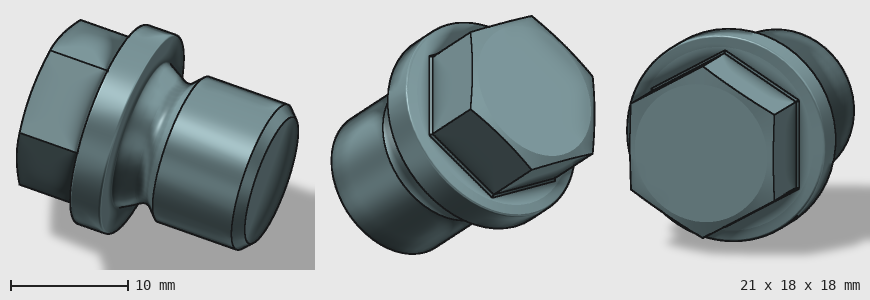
import cadquery as cq
import math


total_length = 21.0
head_end = 6.0
flange_end = 9.0
groove_bottom_x = 11.25

across_flats = 13.0
hex_corner_radius = across_flats / math.sqrt(3)
end_face_radius = 6.0
head_chamfer_angle = 15.0
foot_length = 0.2
foot_flare_angle = 45.0

flange_diameter = 18.0
flange_radius = flange_diameter / 2
washer_face_radius = 8.0
washer_slope_angle = 8.0
rim_fillet = 0.2

shank_radius = 6.57
groove_bottom_radius = 5.44
groove_arc_radius = 1.0
flange_side_angle = 30.0
shank_side_angle = 45.0
corner_fillet = 0.19
shank_end_chamfer = 0.86


def tan_deg(angle):
    return math.tan(math.radians(angle))


def groove_arc_point(angle):
    """Point of the groove arc, with the angle measured from its lowest point towards the shank."""
    turn = math.radians(angle)
    return (
        groove_bottom_x + groove_arc_radius * math.sin(turn),
        groove_bottom_radius + groove_arc_radius * (1 - math.cos(turn)),
    )


def revolve_about_x(profile):
    """Close an XY half profile and turn it a full circle about the X axis."""
    return profile.close().revolve(360, (0, 0, 0), (1, 0, 0))


def make_hexagon(start, length, taper=0.0):
    """Hexagon extruded along X with two corners on the Z axis; a negative taper widens it."""
    corners = []
    for corner in range(6):
        turn = math.radians(90 + 60 * corner)
        corners.append((hex_corner_radius * math.cos(turn), hex_corner_radius * math.sin(turn)))
    section = cq.Workplane("YZ", origin=(start, 0, 0))
    return section.polyline(corners).close().extrude(length, taper=taper)


def make_head():
    """Hexagon with a conical end chamfer and a foot that flares onto the flange."""
    foot_start = head_end - foot_length
    chamfer_cone_radius = end_face_radius + foot_start / tan_deg(head_chamfer_angle)
    chamfer_cone = revolve_about_x(
        cq.Workplane("XY").polyline(
            [(0, 0), (0, end_face_radius), (foot_start, chamfer_cone_radius), (foot_start, 0)]
        )
    )
    hexagon = make_hexagon(0, foot_start).intersect(chamfer_cone)
    return hexagon.union(make_hexagon(foot_start, foot_length, taper=-foot_flare_angle))


def make_flange():
    """Disc whose head side slopes away outside the washer face, with both rims rounded."""
    slope_drop = (flange_radius - washer_face_radius) * tan_deg(washer_slope_angle)
    disc = revolve_about_x(
        cq.Workplane("XY").polyline(
            [
                (head_end, 0),
                (head_end, washer_face_radius),
                (head_end + slope_drop, flange_radius),
                (flange_end, flange_radius),
                (flange_end, 0),
            ]
        )
    )
    return disc.edges(cq.selectors.RadiusNthSelector(-1)).fillet(rim_fillet)


def make_shank():
    """Shank with the rounded relief groove next to the flange and a chamfered free end."""
    arc_start = groove_arc_point(-flange_side_angle)
    arc_end = groove_arc_point(shank_side_angle)
    groove_slope = tan_deg(flange_side_angle)
    groove_end = arc_end[0] + (shank_radius - arc_end[1]) / tan_deg(shank_side_angle)

    root_radius = arc_start[1] + (arc_start[0] - flange_end) * groove_slope
    fillet_tangent = corner_fillet * tan_deg((90 - flange_side_angle) / 2)
    fillet_run = fillet_tangent * math.cos(math.radians(flange_side_angle))
    fillet_end = (flange_end + fillet_run, root_radius - fillet_run * groove_slope)

    return revolve_about_x(
        cq.Workplane("XY")
        .moveTo(flange_end, 0)
        .lineTo(flange_end, root_radius + fillet_tangent)
        .radiusArc(fillet_end, -corner_fillet)
        .lineTo(*arc_start)
        .threePointArc((groove_bottom_x, groove_bottom_radius), arc_end)
        .lineTo(groove_end, shank_radius)
        .lineTo(total_length - shank_end_chamfer, shank_radius)
        .lineTo(total_length, shank_radius - shank_end_chamfer)
        .lineTo(total_length, 0)
    )


result = make_head().union(make_flange()).union(make_shank())